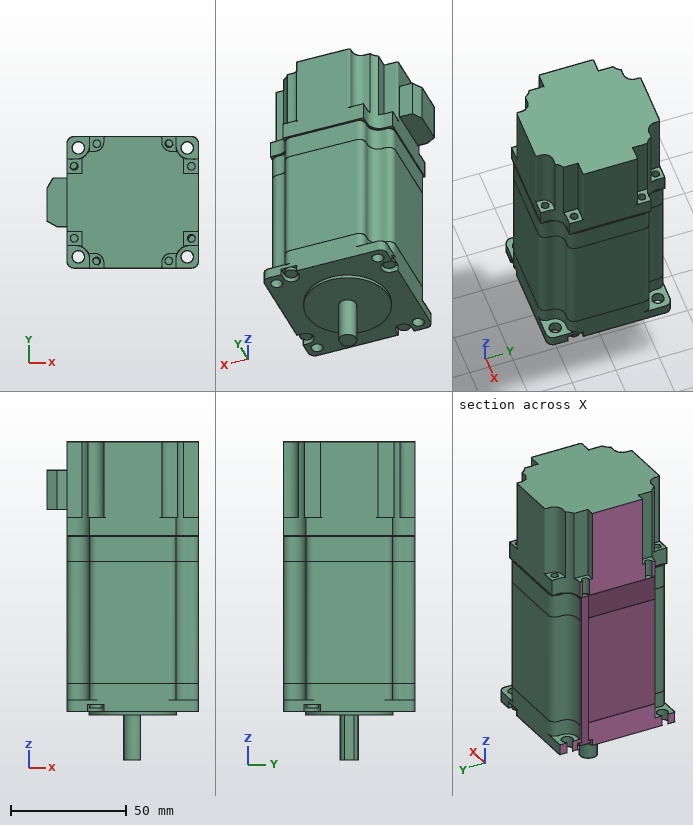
import cadquery as cq
import math


TOTAL_HEIGHT = 137.7
WIDTH = 57.0
HALF = WIDTH / 2

PILOT_BOTTOM = 19.4
FLANGE_BOTTOM = 20.9
FLANGE_TOP = 26.0
FRONT_BELL_TOP = 33.2
STATOR_TOP = 85.8
REAR_BELL_TOP = 97.1
LEDGE_TOP = 104.9

PILOT_RADIUS = 19.0
SHAFT_RADIUS = 4.0
SHAFT_FLAT_X = 3.5
MOUNT_HOLE_RADIUS = 2.6
MOUNT_HOLE_OFFSET = 23.5

CORNER_WALL = 18.7
CORNER_RADIUS = MOUNT_HOLE_OFFSET - CORNER_WALL
EDGE_RADIUS = 3.2
SEAT_INSET = 0.4
SEAT_HEIGHT = 0.4
COVER_CORNER_RADIUS = 5.8

SCREW_INSET = 25.7
SCREW_OFFSET = 16.0
SCREW_RADIUS = 1.7
HEAD_RADIUS = 2.8
HEAD_HEIGHT = 1.5
POCKET_RADIUS = 3.6
POCKET_HEIGHT = 3.0
HEAD_SEAT = FLANGE_BOTTOM + POCKET_HEIGHT

NOTCH_INSET = 22.0
NOTCH_END = 12.5
NOTCH_FILLET = 4.1
COVER_EDGE_FILLET = 0.7
LEDGE_HOLE_RADIUS = 1.7
LEDGE_HOLE_INSET = 25.3
LEDGE_HOLE_OFFSET = 15.5

CONNECTOR_END = 37.2
CONNECTOR_HALF_WIDTH = 10.6
CONNECTOR_BOTTOM = 108.2
CONNECTOR_TOP = 125.3
BACK_BEVEL_X = 34.4
BACK_BEVEL_Y = 6.0
FRONT_BEVEL_X = 32.8
FRONT_BEVEL_Y = 8.1

TOLERANCE = 0.01

SIGNS = (-1, 1)
CORNERS = [(sx, sy) for sx in SIGNS for sy in SIGNS]
QUARTER_TURNS = (0, 90, 180, 270)


def cylinder(x, y, radius, bottom, top):
    return cq.Workplane("XY", origin=(x, y, bottom)).circle(radius).extrude(top - bottom)


def turned(x, y, angle):
    """Point turned about the motor axis by an angle in degrees."""
    cosine = math.cos(math.radians(angle))
    sine = math.sin(math.radians(angle))
    return (x * cosine - y * sine, x * sine + y * cosine)


def recessed_prism(recess_radius, bottom, top):
    """Square prism whose four corners are cut back to walls joined by a concave arc."""
    arc_end = CORNER_WALL + recess_radius
    arc_middle = arc_end - recess_radius * math.sqrt(0.5)
    outline = cq.Workplane("XY").workplane(offset=bottom).moveTo(HALF, -CORNER_WALL)
    for angle in QUARTER_TURNS:
        outline = outline.lineTo(*turned(HALF, CORNER_WALL, angle))
        outline = outline.lineTo(*turned(arc_end, CORNER_WALL, angle))
        outline = outline.threePointArc(
            turned(arc_middle, arc_middle, angle), turned(CORNER_WALL, arc_end, angle)
        )
        outline = outline.lineTo(*turned(CORNER_WALL, HALF, angle))
    return outline.close().extrude(top - bottom)


def on_outer_side(edge):
    """True for an edge that lies on one of the four outer sides."""
    center = edge.Center()
    return max(abs(center.x), abs(center.y)) > HALF - TOLERANCE


def beside_notch(edge):
    """True for an edge where a cover notch opens through an outer side."""
    center = edge.Center()
    across = min(abs(center.x), abs(center.y))
    return on_outer_side(edge) and abs(across - NOTCH_END) < TOLERANCE


def drill_screw_holes(body):
    """Cut the four screw shank holes through the full height of a motor section."""
    hole = cylinder(-SCREW_OFFSET, -SCREW_INSET, SCREW_RADIUS, HEAD_SEAT, REAR_BELL_TOP)
    for angle in QUARTER_TURNS:
        body = body.cut(hole.rotate((0, 0, 0), (0, 0, 1), angle))
    return body


def motor_section(bottom, top):
    """Length of the motor body with rounded outer edges."""
    section = recessed_prism(CORNER_RADIUS, bottom, top)
    return section.edges("|Z").filter(on_outer_side).fillet(EDGE_RADIUS)


def make_head_pocket():
    """Round-ended pocket for a screw head, open to the flange bottom and its -Y side."""
    pocket = cylinder(-SCREW_OFFSET, -SCREW_INSET, POCKET_RADIUS, FLANGE_BOTTOM, HEAD_SEAT)
    slot_length = HALF - SCREW_INSET
    slot = cq.Workplane("XY").box(
        2 * POCKET_RADIUS, slot_length, POCKET_HEIGHT, centered=(True, False, False)
    )
    return pocket.union(slot.translate((-SCREW_OFFSET, -HALF, FLANGE_BOTTOM)))


def make_front_bell():
    """Mounting flange, front end of the motor, pilot and flatted shaft in one piece."""
    flange = (
        cq.Workplane("XY")
        .workplane(offset=FLANGE_BOTTOM)
        .rect(WIDTH, WIDTH)
        .extrude(FLANGE_TOP - FLANGE_BOTTOM)
        .edges("|Z")
        .fillet(EDGE_RADIUS)
    )
    pilot = cylinder(0, 0, PILOT_RADIUS, PILOT_BOTTOM, FLANGE_BOTTOM)
    shaft = cylinder(0, 0, SHAFT_RADIUS, 0, PILOT_BOTTOM)
    beyond_flat = cq.Workplane("XY").box(
        SHAFT_RADIUS, 2 * SHAFT_RADIUS, PILOT_BOTTOM, centered=(False, True, False)
    )
    shaft = shaft.cut(beyond_flat.translate((SHAFT_FLAT_X, 0, 0)))
    bell = flange.union(motor_section(FLANGE_TOP, FRONT_BELL_TOP)).union(pilot).union(shaft)

    for sx, sy in CORNERS:
        x = sx * MOUNT_HOLE_OFFSET
        y = sy * MOUNT_HOLE_OFFSET
        bell = bell.cut(cylinder(x, y, MOUNT_HOLE_RADIUS, FLANGE_BOTTOM, FLANGE_TOP))
    pocket = make_head_pocket()
    for angle in QUARTER_TURNS:
        bell = bell.cut(pocket.rotate((0, 0, 0), (0, 0, 1), angle))
    return drill_screw_holes(bell)


def make_stator():
    return drill_screw_holes(motor_section(FRONT_BELL_TOP, STATOR_TOP))


def make_rear_bell():
    """Rear end of the motor, topped by a thin inset seat that leaves a groove under the cover."""
    bell = motor_section(STATOR_TOP, REAR_BELL_TOP - SEAT_HEIGHT)
    bell = bell.faces(">Z").wires().toPending().offset2D(-SEAT_INSET).extrude(SEAT_HEIGHT)
    return drill_screw_holes(bell)


def make_screw(angle):
    """Through screw, its head in the flange pocket and its end flush with the rear bell."""
    head = cylinder(-SCREW_OFFSET, -SCREW_INSET, HEAD_RADIUS, HEAD_SEAT - HEAD_HEIGHT, HEAD_SEAT)
    shank = cylinder(-SCREW_OFFSET, -SCREW_INSET, SCREW_RADIUS, HEAD_SEAT, REAR_BELL_TOP)
    return head.union(shank).rotate((0, 0, 0), (0, 0, 1), angle)


def make_connector():
    """Bevelled connector block that stands out from the -X side of the cover."""
    return (
        cq.Workplane("XY")
        .workplane(offset=CONNECTOR_BOTTOM)
        .moveTo(-HALF, CONNECTOR_HALF_WIDTH)
        .lineTo(-BACK_BEVEL_X, CONNECTOR_HALF_WIDTH)
        .lineTo(-CONNECTOR_END, BACK_BEVEL_Y)
        .lineTo(-CONNECTOR_END, -FRONT_BEVEL_Y)
        .lineTo(-FRONT_BEVEL_X, -CONNECTOR_HALF_WIDTH)
        .lineTo(-HALF, -CONNECTOR_HALF_WIDTH)
        .close()
        .extrude(CONNECTOR_TOP - CONNECTOR_BOTTOM)
    )


def make_cover():
    """Rear cover with eight notches, a drilled ledge in each, and the connector."""
    cover = recessed_prism(COVER_CORNER_RADIUS, REAR_BELL_TOP, TOTAL_HEIGHT)

    notch_depth = HALF - NOTCH_INSET
    notch_width = HALF - NOTCH_END
    notch_height = TOTAL_HEIGHT - LEDGE_TOP
    notch_center = (HALF + NOTCH_END) / 2
    depth_center = (HALF + NOTCH_INSET) / 2
    square_notch = (
        cq.Workplane("XY", origin=(depth_center, notch_center, LEDGE_TOP))
        .rect(notch_depth, notch_width)
        .extrude(notch_height)
    )
    round_notch = (
        cq.Workplane("XY", origin=(notch_center, depth_center, LEDGE_TOP))
        .rect(notch_width, notch_depth)
        .extrude(notch_height)
        .edges("|Z and <X and <Y")
        .fillet(NOTCH_FILLET)
    )
    ledge_holes = [
        cylinder(x, y, LEDGE_HOLE_RADIUS, REAR_BELL_TOP, LEDGE_TOP)
        for x, y in ((LEDGE_HOLE_INSET, LEDGE_HOLE_OFFSET), (LEDGE_HOLE_OFFSET, LEDGE_HOLE_INSET))
    ]
    for cutter in (square_notch, round_notch, *ledge_holes):
        for x_side in (cutter, cutter.mirror("YZ")):
            cover = cover.cut(x_side).cut(x_side.mirror("XZ"))

    cover = cover.edges("|Z").filter(beside_notch).fillet(COVER_EDGE_FILLET)
    return cover.union(make_connector())


front_bell = make_front_bell()
stator = make_stator()
rear_bell = make_rear_bell()
cover = make_cover()
screws = [make_screw(angle) for angle in QUARTER_TURNS]

result = cq.Compound.makeCompound(
    [
        front_bell.val(),
        stator.val(),
        rear_bell.val(),
        cover.val(),
        *[screw.val() for screw in screws],
    ]
)